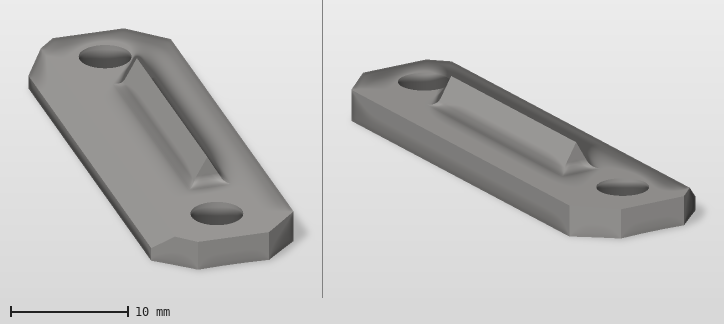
import cadquery as cq
import math

length = 41.25
width = 12.7
total_height = 5.3
ridge_height = 2.48
plate_height = total_height - ridge_height
corner_chamfer = 3.18
front_bevel = 1.6
hollow_depth = 0.225

hole_diameter = 4.5
hole_spacing = 31.78

ridge_length = 20.0
ridge_offset = 1.0
ridge_angle = 60.0
ridge_half_width = ridge_height * math.tan(math.radians(ridge_angle / 2))
ridge_fillet = 0.8


def make_plate():
    """Plate with clipped corners and a bevel along the -Y top edge."""
    plate = cq.Workplane("XY").box(length, width, plate_height, centered=(True, True, False))
    plate = plate.edges("|Z").chamfer(corner_chamfer)
    bevel = (
        cq.Workplane("YZ")
        .moveTo(-width / 2, plate_height)
        .lineTo(-width / 2 + front_bevel, plate_height)
        .lineTo(-width / 2, plate_height - front_bevel)
        .close()
        .extrude(length / 2, both=True)
    )
    return plate.cut(bevel)


def make_ridge():
    """Prism with an equilateral cross-section, standing on the plate."""
    return (
        cq.Workplane("YZ")
        .moveTo(ridge_offset - ridge_half_width, plate_height)
        .lineTo(ridge_offset + ridge_half_width, plate_height)
        .lineTo(ridge_offset, total_height)
        .close()
        .extrude(ridge_length / 2, both=True)
    )


def make_hollow():
    """Shallow arched hollow running lengthwise under the plate."""
    return (
        cq.Workplane("YZ")
        .moveTo(-width / 2, 0)
        .threePointArc((0, hollow_depth), (width / 2, 0))
        .close()
        .extrude(length / 2, both=True)
    )


def make_holes():
    """Pair of through holes on the long centreline."""
    return (
        cq.Workplane("XY")
        .pushPoints([(-hole_spacing / 2, 0), (hole_spacing / 2, 0)])
        .circle(hole_diameter / 2)
        .extrude(plate_height)
    )


body = make_plate().union(make_ridge())
foot_margin = 0.05
foot_half_length = ridge_length / 2 + foot_margin
foot_half_width = ridge_half_width + foot_margin
foot_box = cq.selectors.BoxSelector(
    (-foot_half_length, ridge_offset - foot_half_width, plate_height - foot_margin),
    (foot_half_length, ridge_offset + foot_half_width, plate_height + foot_margin),
    boundingbox=True,
)
body = body.edges(foot_box).fillet(ridge_fillet)

result = body.cut(make_hollow()).cut(make_holes())